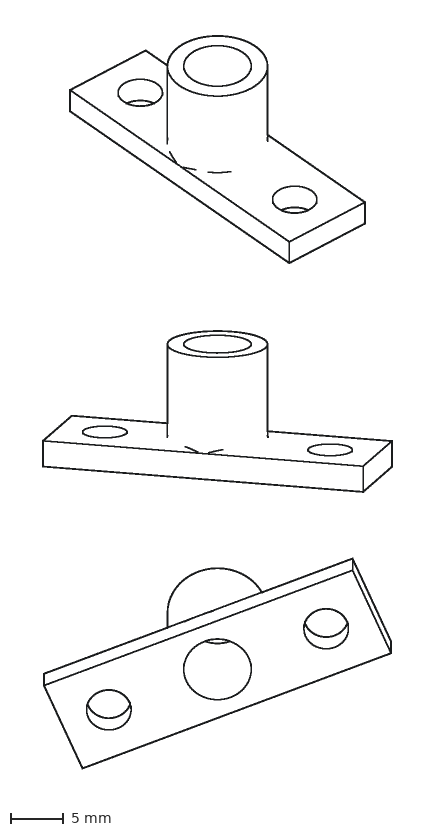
import cadquery as cq
import math

plate_length = 31.75
plate_width = 9.52
plate_thickness = 2.55

overall_height = 12.05
boss_diameter = plate_width
bore_diameter = 6.4

fillet_radius = 0.5
boss_radius = boss_diameter / 2
foot_radius = boss_radius + fillet_radius
wall_overlap = 0.32
arc_overlap = 0.005
root_radius = boss_radius - wall_overlap
runout_angle = math.degrees(math.acos(plate_width / 2 / foot_radius))
runout_start = 1.0
runout_steps = 6

mount_hole_diameter = 4.22
mount_hole_spacing = 22.35


def make_plate():
    return cq.Workplane("XY").box(
        plate_length, plate_width, plate_thickness, centered=(True, True, False)
    )


def make_boss():
    boss_height = overall_height - plate_thickness
    return cq.Workplane("XY", origin=(0, 0, plate_thickness)).circle(boss_radius).extrude(boss_height)


def fillet_section(angle, height):
    """Radial wire of the fillet, at an angle in degrees from the +Y axis towards +X.

    The concave arc runs from the long plate edge, or from the full fillet's foot circle, up to the boss.
    """
    edge_radius = plate_width / 2 / math.cos(math.radians(angle))
    plane = cq.Plane(
        origin=(0, 0, plate_thickness),
        xDir=(math.sin(math.radians(angle)), math.cos(math.radians(angle)), 0),
        normal=(math.cos(math.radians(angle)), -math.sin(math.radians(angle)), 0),
    )
    return (
        cq.Workplane(plane)
        .moveTo(root_radius, 0)
        .lineTo(edge_radius, 0)
        .radiusArc((boss_radius - arc_overlap, height), fillet_radius)
        .lineTo(root_radius, height)
        .close()
    )


def make_full_fillet():
    """Constant fillet at the +X end of the boss, as far as it lands on the plate top."""
    sweep = 180 - 2 * runout_angle
    return fillet_section(runout_angle, fillet_radius).revolve(sweep, (0, 0, 0), (0, -1, 0))


def make_runout():
    """Fillet that follows the long plate edge and fades out towards the tangent point at +Y."""
    wires = []
    for step in range(runout_steps + 1):
        angle = runout_start + (runout_angle - runout_start) * step / runout_steps
        overhang = foot_radius * math.cos(math.radians(angle)) - plate_width / 2
        height = math.sqrt(fillet_radius**2 - overhang**2)
        wires.append(fillet_section(angle, height).val())
    return cq.Workplane(cq.Solid.makeLoft(wires))


def add_fillet(body):
    runout = make_runout()
    end_fillet = make_full_fillet().union(runout).union(runout.mirror("XZ"))
    return body.union(end_fillet).union(end_fillet.mirror("YZ"))


def drill_holes(body):
    bore = cq.Workplane("XY").circle(bore_diameter / 2).extrude(overall_height)
    mount_holes = (
        cq.Workplane("XY")
        .rarray(mount_hole_spacing, 0.32, 2, 1)
        .circle(mount_hole_diameter / 2)
        .extrude(plate_thickness)
    )
    return body.cut(bore).cut(mount_holes)


result = drill_holes(add_fillet(make_plate()).union(make_boss()))